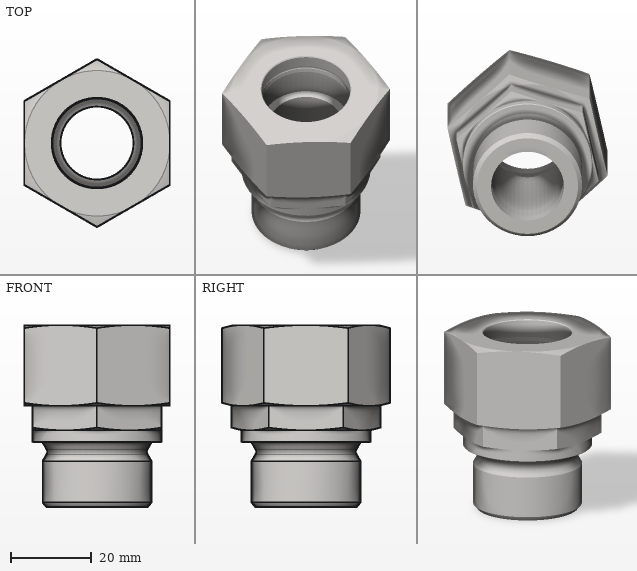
import cadquery as cq
import math

total_height = 45.0
tube_diameter = 22.0
thread_diameter = 30.0
nut_bottom_z = 25.0
hex_chamfer_angle = math.radians(15)
hex_corner_ratio = 1 / math.cos(math.radians(30))

nut_across_flats = 36.0
entry_chamfer = 0.22
lip_bottom_z = 41.5

ring_top_z = 40.45
ring_top_diameter = 24.3
ring_outer_diameter = 27.85
ring_mouth_height = 0.95
ring_mouth_growth = 0.22

through_diameter = 18.0
stud_diameter = 27.0
stud_chamfer_width = 1.0
stud_chamfer_height = 1.12
collar_bottom_z = 16.0
collar_diameter = 32.0
collar_chamfer = 0.2
body_across_flats = collar_diameter
body_hex_bottom_z = 19.0
socket_floor_z = 32.55
cone_start_z = 34.6
cone_half_angle = math.radians(12)

groove_diameter = 24.7
groove_arc_radius = 1.35
groove_flank_angle = math.radians(30)

tube_radius = tube_diameter / 2
thread_radius = thread_diameter / 2
through_radius = through_diameter / 2
stud_radius = stud_diameter / 2
collar_radius = collar_diameter / 2
ring_top_radius = ring_top_diameter / 2
ring_outer_radius = ring_outer_diameter / 2
body_top_z = ring_top_z - (ring_outer_radius - ring_top_radius)
cone_mouth_radius = tube_radius + (body_top_z - cone_start_z) * math.tan(cone_half_angle)

groove_radius = groove_diameter / 2
groove_arc_half_height = groove_arc_radius * math.sin(groove_flank_angle)
groove_arc_end_radius = groove_radius + groove_arc_radius * (1 - math.cos(groove_flank_angle))
groove_flank_height = (stud_radius - groove_arc_end_radius) / math.tan(groove_flank_angle)
groove_middle_z = collar_bottom_z - groove_flank_height - groove_arc_half_height
groove_bottom_z = groove_middle_z - groove_arc_half_height - groove_flank_height


def revolve_about_z(outline):
    """Turn a closed (radius, z) outline into a solid of revolution."""
    return outline.close().revolve(360, (0, 0, 0), (0, 1, 0))


def turned(points):
    """Solid of revolution about Z from straight-sided (radius, z) points."""
    return revolve_about_z(cq.Workplane("XZ").polyline(points))


def hexagon(across_flats, bottom_z, top_z):
    """Hexagonal prism with two opposite corners on the Y axis."""
    corner_diameter = across_flats * hex_corner_ratio
    prism = cq.Workplane("XY").workplane(offset=bottom_z).polygon(6, corner_diameter).extrude(top_z - bottom_z)
    return prism.rotate((0, 0, 0), (0, 0, 1), 30)


def bevelled_hexagon(across_flats, bottom_z, top_z, bevel_top):
    """Hexagon whose corners are turned down at the bottom and, if asked, at the top."""
    flat_radius = across_flats / 2
    envelope_radius = across_flats
    drop = (envelope_radius - flat_radius) * math.tan(hex_chamfer_angle)
    envelope = [(0, bottom_z), (flat_radius, bottom_z), (envelope_radius, bottom_z + drop)]
    if bevel_top:
        envelope += [(envelope_radius, top_z - drop), (flat_radius, top_z)]
    else:
        envelope += [(envelope_radius, top_z)]
    envelope += [(0, top_z)]
    return hexagon(across_flats, bottom_z, top_z).intersect(turned(envelope))


def make_body():
    """Stud with undercut, collar, hexagon and a threaded neck holding the tube socket."""
    outline = (
        cq.Workplane("XZ")
        .moveTo(through_radius, 0)
        .lineTo(stud_radius - stud_chamfer_width, 0)
        .lineTo(stud_radius, stud_chamfer_height)
        .lineTo(stud_radius, groove_bottom_z)
        .lineTo(groove_arc_end_radius, groove_middle_z - groove_arc_half_height)
        .threePointArc(
            (groove_radius, groove_middle_z),
            (groove_arc_end_radius, groove_middle_z + groove_arc_half_height),
        )
        .lineTo(stud_radius, collar_bottom_z)
        .lineTo(collar_radius - collar_chamfer, collar_bottom_z)
        .lineTo(collar_radius, collar_bottom_z + collar_chamfer)
        .lineTo(collar_radius, body_hex_bottom_z)
        .lineTo(thread_radius, body_hex_bottom_z)
        .lineTo(thread_radius, body_top_z)
        .lineTo(cone_mouth_radius, body_top_z)
        .lineTo(tube_radius, cone_start_z)
        .lineTo(tube_radius, socket_floor_z)
        .lineTo(through_radius, socket_floor_z)
    )
    through_hole = cq.Workplane("XY").circle(through_radius).extrude(total_height)
    hex_section = bevelled_hexagon(body_across_flats, body_hex_bottom_z, nut_bottom_z, False)
    return revolve_about_z(outline).union(hex_section.cut(through_hole))


def make_nut():
    """Hexagonal nut with a threaded bore, a 45 degree ring seat and a tube hole."""
    blank = bevelled_hexagon(nut_across_flats, nut_bottom_z, total_height, True)
    cavity = turned([
        (0, nut_bottom_z),
        (thread_radius, nut_bottom_z),
        (thread_radius, body_top_z),
        (ring_outer_radius, body_top_z),
        (ring_top_radius, ring_top_z),
        (ring_top_radius, lip_bottom_z),
        (tube_radius, lip_bottom_z),
        (tube_radius, total_height - entry_chamfer),
        (tube_radius + entry_chamfer, total_height),
        (0, total_height),
    ])
    return blank.cut(cavity)


def make_cutting_ring():
    """Ring with the tube bore inside, a flared mouth and a cone on each end."""
    return turned([
        (tube_radius, cone_start_z),
        (cone_mouth_radius, body_top_z),
        (ring_outer_radius, body_top_z),
        (ring_top_radius, ring_top_z),
        (tube_radius + ring_mouth_growth, ring_top_z),
        (tube_radius, ring_top_z - ring_mouth_height),
    ])


body = make_body()
nut = make_nut()
cutting_ring = make_cutting_ring()

result = cq.Compound.makeCompound([body.val(), nut.val(), cutting_ring.val()])